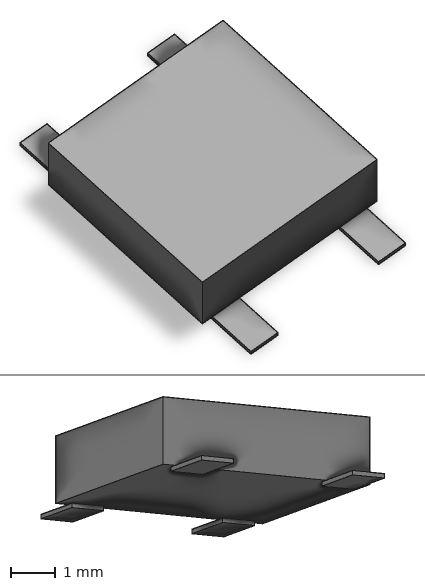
import cadquery as cq

overall_length = 7.8
overall_height = 1.64

housing_side = 5.2

lead_length = 1.5
lead_width = 0.8
lead_thickness = 0.1
lead_pitch = 3.8

housing_height = overall_height - lead_thickness
lead_center_x = (overall_length - lead_length) / 2
lead_center_y = lead_pitch / 2


def make_housing():
    """Plain block resting on top of the leads."""
    return (
        cq.Workplane("XY")
        .workplane(offset=lead_thickness)
        .rect(housing_side, housing_side)
        .extrude(housing_height)
    )


def make_lead(center_x, center_y):
    """Flat strip whose top face touches the underside of the housing."""
    return (
        cq.Workplane("XY")
        .center(center_x, center_y)
        .rect(lead_length, lead_width)
        .extrude(lead_thickness)
    )


housing = make_housing()
leads = [
    make_lead(side_x * lead_center_x, side_y * lead_center_y)
    for side_x in (-1, 1)
    for side_y in (-1, 1)
]

result = cq.Compound.makeCompound([housing.val(), *[lead.val() for lead in leads]])